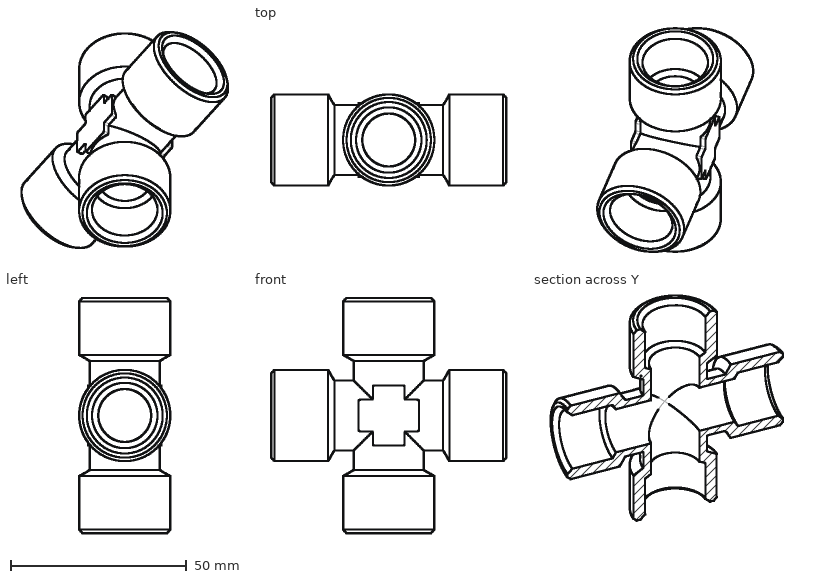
import cadquery as cq
import math

SPAN = 67.0
SOCKET_DIAMETER = 26.0
NECK_DIAMETER = 20.0
BORE_DIAMETER = 15.0
THREAD_DIAMETER = 18.63
MOUTH_CHAMFER = 1.5
HEAD_LENGTH = 18.0
THREAD_DEPTH = 14.0
RIM_CHAMFER = 1.0
SHOULDER_ANGLE = 30.0
DRILL_ANGLE = 30.0

PAD_LENGTH = 17.2
PAD_ARM_WIDTH = 9.0
PAD_CORNER_RADIUS = 0.5
PAD_HEIGHT = 0.5

END = SPAN / 2
SOCKET_RADIUS = SOCKET_DIAMETER / 2
NECK_RADIUS = NECK_DIAMETER / 2
BORE_RADIUS = BORE_DIAMETER / 2
THREAD_RADIUS = THREAD_DIAMETER / 2
MOUTH_RADIUS = THREAD_RADIUS + MOUTH_CHAMFER
PAD_SPAN = NECK_DIAMETER + 2 * PAD_HEIGHT

BRANCH_ANGLES = (0, 90, 180, 270)


def cone_length(large_radius, small_radius, angle):
    """Axial length of a cone whose flank is tilted by angle from the end plane."""
    return (large_radius - small_radius) * math.tan(math.radians(angle))


def revolve_about_z(profile):
    """Turn a list of (radius, height) points into a solid around the Z axis."""
    return cq.Workplane("XZ").polyline(profile).close().revolve(360, (0, 0), (0, 1))


def branch_body():
    """One branch along +Z: neck, shoulder cone and chamfered socket."""
    shoulder_bottom = END - HEAD_LENGTH
    shoulder_top = shoulder_bottom + cone_length(SOCKET_RADIUS, NECK_RADIUS, SHOULDER_ANGLE)
    return revolve_about_z([
        (0, 0),
        (NECK_RADIUS, 0),
        (NECK_RADIUS, shoulder_bottom),
        (SOCKET_RADIUS, shoulder_top),
        (SOCKET_RADIUS, END - RIM_CHAMFER),
        (SOCKET_RADIUS - RIM_CHAMFER, END),
        (0, END),
    ])


def branch_cavity():
    """Hollow of one branch: through bore, drill cone, threaded bore and countersink."""
    thread_bottom = END - THREAD_DEPTH
    drill_bottom = thread_bottom - cone_length(THREAD_RADIUS, BORE_RADIUS, DRILL_ANGLE)
    mouth_bottom = END - MOUTH_CHAMFER
    return revolve_about_z([
        (0, 0),
        (BORE_RADIUS, 0),
        (BORE_RADIUS, drill_bottom),
        (THREAD_RADIUS, thread_bottom),
        (THREAD_RADIUS, mouth_bottom),
        (MOUTH_RADIUS, END),
        (0, END),
    ])


def cross_pads():
    """Cross-shaped block whose two end faces are the flat pads at -Y and +Y."""
    upright = cq.Workplane("XY").box(PAD_ARM_WIDTH, PAD_SPAN, PAD_LENGTH)
    level = cq.Workplane("XY").box(PAD_LENGTH, PAD_SPAN, PAD_ARM_WIDTH)
    return upright.union(level).edges("|Y").fillet(PAD_CORNER_RADIUS)


def in_all_branches(shape):
    """Union of a +Z branch shape repeated in the four branch directions."""
    total = shape
    for angle in BRANCH_ANGLES[1:]:
        total = total.union(shape.rotate((0, 0, 0), (0, 1, 0), angle))
    return total


body = in_all_branches(branch_body()).union(cross_pads())
result = body.cut(in_all_branches(branch_cavity()))